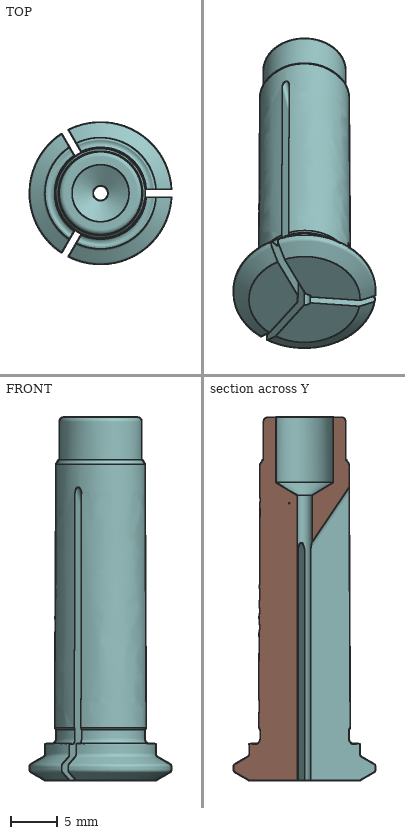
import cadquery as cq
import math

LENGTH = 39.5

SPIGOT_RADIUS = 9.0 / 2
SPIGOT_BASE_Z = 34.85
SPIGOT_EDGE_FILLET = 0.5

BODY_UPPER_RADIUS = 9.75 / 2
BODY_LOWER_RADIUS = 10.0 / 2
SHOULDER_OUTER_Z = 34.35
SHOULDER_INNER_RADIUS = 4.6
BODY_BOTTOM_Z = 5.73

NECK_RADIUS = 4.85
NECK_TOP_Z = 5.53
DISH_ARC_RADIUS = 0.6
COLLAR_RADIUS = 6.05
COLLAR_TOP_Z = 4.0
COLLAR_EDGE_FILLET = 0.08
DISH_RIM_RADIUS = 5.75
DISH_CENTRE_RADIUS = NECK_RADIUS + DISH_ARC_RADIUS
DISH_CENTRE_Z = 4.55

FLANGE_RADIUS = 15.5 / 2
FLANGE_BOTTOM_RADIUS = 6.05
CONE_ANGLE = 30.0
COLLAR_CORNER_Z = 2.7
COLLAR_CORNER_FILLET = 0.4
FLANGE_EDGE_FILLET = 0.4

BORE_RADIUS = 6.2 / 2
BORE_DEPTH = 7.1
HOLE_RADIUS = 1.58 / 2
BORE_TIP_ANGLE = 118.0

SLOT_COUNT = 3
SLOT_WIDTH = 0.83
SLOT_TOP_Z = 31.88
SLOT_TILT = 56.0
SLOT_REACH = FLANGE_RADIUS + 0.4


def make_outer_body():
    """Revolve the half section of the solid part about Z."""
    cone_slope = math.tan(math.radians(CONE_ANGLE))
    flange_low_z = (FLANGE_RADIUS - FLANGE_BOTTOM_RADIUS) * cone_slope
    flange_high_z = COLLAR_CORNER_Z - (FLANGE_RADIUS - COLLAR_RADIUS) * cone_slope

    rim_offset = DISH_RIM_RADIUS - DISH_CENTRE_RADIUS
    rim_z = DISH_CENTRE_Z - math.sqrt(DISH_ARC_RADIUS**2 - rim_offset**2)
    dish_bottom = (DISH_CENTRE_RADIUS, DISH_CENTRE_Z - DISH_ARC_RADIUS)

    section = (
        cq.Workplane("XZ")
        .moveTo(0, 0)
        .lineTo(FLANGE_BOTTOM_RADIUS, 0)
        .lineTo(FLANGE_RADIUS, flange_low_z)
        .lineTo(FLANGE_RADIUS, flange_high_z)
        .lineTo(COLLAR_RADIUS, COLLAR_CORNER_Z)
        .lineTo(COLLAR_RADIUS, COLLAR_TOP_Z)
        .lineTo(DISH_RIM_RADIUS, rim_z)
        .threePointArc(dish_bottom, (NECK_RADIUS, DISH_CENTRE_Z))
        .lineTo(NECK_RADIUS, NECK_TOP_Z)
        .lineTo(BODY_LOWER_RADIUS, BODY_BOTTOM_Z)
        .spline(
            [(BODY_UPPER_RADIUS, SHOULDER_OUTER_Z)],
            tangents=[(0, 1), (0, 1)],
            includeCurrent=True,
        )
        .lineTo(SHOULDER_INNER_RADIUS, SPIGOT_BASE_Z)
        .lineTo(SPIGOT_RADIUS, SPIGOT_BASE_Z)
        .lineTo(SPIGOT_RADIUS, LENGTH)
        .lineTo(0, LENGTH)
        .close()
    )
    body = section.revolve(360, (0, 0, 0), (0, 1, 0))

    body = round_edge_at(body, LENGTH, SPIGOT_EDGE_FILLET)
    for edge_z in (rim_z, COLLAR_TOP_Z):
        body = round_edge_at(body, edge_z, COLLAR_EDGE_FILLET)
    body = round_edge_at(body, COLLAR_CORNER_Z, COLLAR_CORNER_FILLET)
    for edge_z in (flange_low_z, flange_high_z):
        body = round_edge_at(body, edge_z, FLANGE_EDGE_FILLET)
    return body


def round_edge_at(body, edge_z, radius):
    """Fillet the circular edge lying at height edge_z."""
    margin = 0.005
    span = 2 * FLANGE_RADIUS
    selector = cq.selectors.BoxSelector(
        (-span, -span, edge_z - margin), (span, span, edge_z + margin)
    )
    return body.edges(selector).edges("%CIRCLE").fillet(radius)


def make_bore():
    """Blind bore with a drill-point bottom opening into the through hole."""
    floor_z = LENGTH - BORE_DEPTH
    tip_slope = math.tan(math.radians(BORE_TIP_ANGLE / 2))
    tip_z = floor_z - (BORE_RADIUS - HOLE_RADIUS) / tip_slope
    return (
        cq.Workplane("XZ")
        .moveTo(0, 0)
        .lineTo(HOLE_RADIUS, 0)
        .lineTo(HOLE_RADIUS, tip_z)
        .lineTo(BORE_RADIUS, floor_z)
        .lineTo(BORE_RADIUS, LENGTH)
        .lineTo(0, LENGTH)
        .close()
        .revolve(360, (0, 0, 0), (0, 1, 0))
    )


def make_slot(azimuth):
    """Slot from the axis outwards; its round end slopes down towards the axis."""
    tilt = math.radians(SLOT_TILT)
    exit_z = SLOT_TOP_Z - SLOT_WIDTH / 2 / math.cos(tilt)
    inner_z = exit_z - BODY_UPPER_RADIUS * math.tan(tilt)
    outer_z = inner_z + SLOT_REACH * math.tan(tilt)
    slab = (
        cq.Workplane("XZ")
        .polyline([(0, 0), (SLOT_REACH, 0), (SLOT_REACH, outer_z), (0, inner_z)])
        .close()
        .extrude(SLOT_WIDTH / 2, both=True)
    )
    round_end = cq.Workplane(
        cq.Solid.makeCylinder(
            SLOT_WIDTH / 2,
            SLOT_REACH / math.cos(tilt),
            cq.Vector(0, 0, inner_z),
            cq.Vector(math.cos(tilt), 0, math.sin(tilt)),
        )
    )
    return slab.union(round_end).rotate((0, 0, 0), (0, 0, 1), azimuth)


result = make_outer_body().cut(make_bore())
for index in range(SLOT_COUNT):
    result = result.cut(make_slot(index * 360 / SLOT_COUNT))